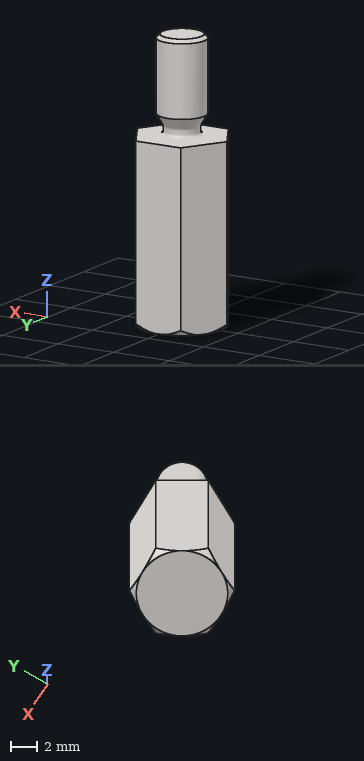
import cadquery as cq
import math

hex_sides = 6
across_flats = 7.0
body_length = 15.0
stud_length = 8.0
stud_diameter = 4.0
stud_tip_chamfer = 0.3
neck_diameter = 2.9
neck_fillet = 0.4
relief_length = 1.725
relief_angle = math.radians(30)
foot_diameter = across_flats
foot_chamfer_angle = math.radians(45)

across_corners = across_flats / math.cos(math.pi / hex_sides)
stud_radius = stud_diameter / 2
neck_radius = neck_diameter / 2


def hex_body():
    """Hexagonal prism with corners on the X axis and a conical chamfer at the bottom."""
    prism = cq.Workplane("XY").polygon(hex_sides, across_corners).extrude(body_length)
    foot_radius = foot_diameter / 2
    outer_radius = across_corners
    chamfer_height = (outer_radius - foot_radius) * math.tan(foot_chamfer_angle)
    envelope = (
        cq.Workplane("XZ")
        .moveTo(0, 0)
        .lineTo(foot_radius, 0)
        .lineTo(outer_radius, chamfer_height)
        .lineTo(outer_radius, body_length)
        .lineTo(0, body_length)
        .close()
        .revolve(360, (0, 0, 0), (0, 1, 0))
    )
    return prism.intersect(envelope)


def fillet_point(center_r, center_z, angle):
    """Point on a neck fillet, at an angle from the inward radial direction."""
    radius = center_r - neck_fillet * math.cos(angle)
    height = center_z + neck_fillet * math.sin(angle)
    return radius, height


def stud():
    """Round stud with a filleted relief neck at its root and a chamfered tip."""
    base_z = body_length
    tip_z = base_z + stud_length
    center_r = neck_radius + neck_fillet

    root_z = base_z + neck_fillet
    root_mid = fillet_point(center_r, root_z, -math.pi / 4)

    cone_start_r = fillet_point(center_r, 0, relief_angle)[0]
    cone_end_z = base_z + relief_length
    cone_start_z = cone_end_z - (stud_radius - cone_start_r) / math.tan(relief_angle)
    blend_z = cone_start_z - neck_fillet * math.sin(relief_angle)
    blend_mid = fillet_point(center_r, blend_z, relief_angle / 2)

    return (
        cq.Workplane("XZ")
        .moveTo(0, base_z)
        .lineTo(center_r, base_z)
        .threePointArc(root_mid, (neck_radius, root_z))
        .lineTo(neck_radius, blend_z)
        .threePointArc(blend_mid, (cone_start_r, cone_start_z))
        .lineTo(stud_radius, cone_end_z)
        .lineTo(stud_radius, tip_z - stud_tip_chamfer)
        .lineTo(stud_radius - stud_tip_chamfer, tip_z)
        .lineTo(0, tip_z)
        .close()
        .revolve(360, (0, 0, 0), (0, 1, 0))
    )


result = hex_body().union(stud())